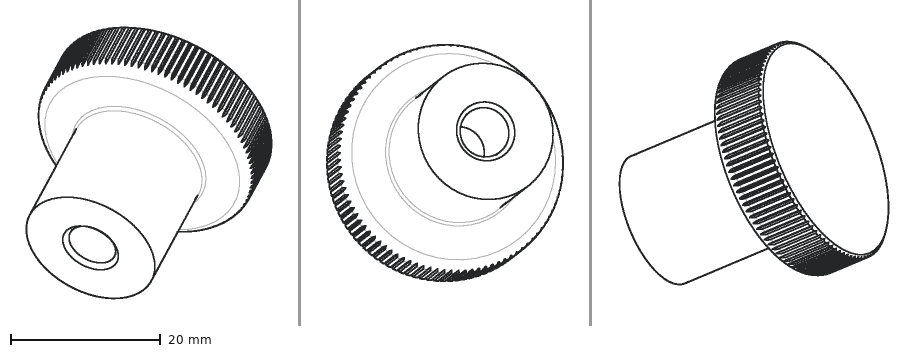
import cadquery as cq
import math

head_diameter = 31.0
total_length = 27.0
hub_diameter = 18.5

back_chamfer = 0.43
rim_length = 6.42
rim_fillet = 2.0
cone_angle = math.radians(15)
neck_fillet = 0.5

groove_count = 100
groove_depth = 0.22
groove_angle = math.radians(90)

bore_diameter = 6.7
bore_mouth_diameter = 8.0
bore_depth = 14.88
drill_tip_angle = math.radians(118)

head_radius = head_diameter / 2
hub_radius = hub_diameter / 2
bore_radius = bore_diameter / 2
bore_mouth_radius = bore_mouth_diameter / 2


def arc_point(center, radius, angle):
    """Point on a circle, with the angle measured from the +X direction."""
    return (center[0] + radius * math.cos(angle), center[1] + radius * math.sin(angle))


def make_body():
    """Head and hub, revolved about Y with fillets tangent to the conical shoulder."""
    cone_normal = cone_angle - math.pi / 2

    rim_center = (head_radius - rim_fillet, -rim_length)
    rim_middle = arc_point(rim_center, rim_fillet, cone_normal / 2)
    cone_outer = arc_point(rim_center, rim_fillet, cone_normal)

    neck_center_x = hub_radius + neck_fillet
    cone_inner_x = neck_center_x - neck_fillet * math.cos(cone_normal)
    cone_inner_y = cone_outer[1] - (cone_outer[0] - cone_inner_x) * math.tan(cone_angle)
    neck_center = (neck_center_x, cone_inner_y + neck_fillet * math.sin(cone_normal))
    neck_middle = arc_point(neck_center, neck_fillet, math.pi + cone_normal / 2)
    neck_end = (hub_radius, neck_center[1])

    return (
        cq.Workplane("XY")
        .moveTo(0, 0)
        .lineTo(head_radius - back_chamfer, 0)
        .lineTo(head_radius, -back_chamfer)
        .lineTo(head_radius, -rim_length)
        .threePointArc(rim_middle, cone_outer)
        .lineTo(cone_inner_x, cone_inner_y)
        .threePointArc(neck_middle, neck_end)
        .lineTo(hub_radius, -total_length)
        .lineTo(0, -total_length)
        .close()
        .revolve(360, (0, 0, 0), (0, 1, 0))
    )


def make_bore():
    """Blind bore with a chamfered mouth and a conical drill tip."""
    mouth_chamfer = bore_mouth_radius - bore_radius
    bore_bottom = -total_length + bore_depth
    tip_height = bore_radius / math.tan(drill_tip_angle / 2)
    return (
        cq.Workplane("XY")
        .moveTo(0, -total_length)
        .lineTo(bore_mouth_radius, -total_length)
        .lineTo(bore_radius, -total_length + mouth_chamfer)
        .lineTo(bore_radius, bore_bottom)
        .lineTo(0, bore_bottom + tip_height)
        .close()
        .revolve(360, (0, 0, 0), (0, 1, 0))
    )


def make_grooves():
    """V-shaped cutters around the rim, running out in the chamfer and the rim fillet."""
    groove_length = rim_length + rim_fillet
    root_radius = head_radius - groove_depth
    outer_radius = head_radius + groove_depth
    outer_half_width = (outer_radius - root_radius) * math.tan(groove_angle / 2)
    cutter = (
        cq.Workplane("XZ")
        .polyline([
            (root_radius, 0),
            (outer_radius, outer_half_width),
            (outer_radius, -outer_half_width),
        ])
        .close()
        .extrude(groove_length)
    ).val()
    pitch = 360 / groove_count
    cutters = [
        cutter.rotate(cq.Vector(0, 0, 0), cq.Vector(0, 1, 0), index * pitch)
        for index in range(groove_count)
    ]
    return cq.Workplane("XY").newObject([cq.Compound.makeCompound(cutters)])


result = make_body().cut(make_bore()).cut(make_grooves())